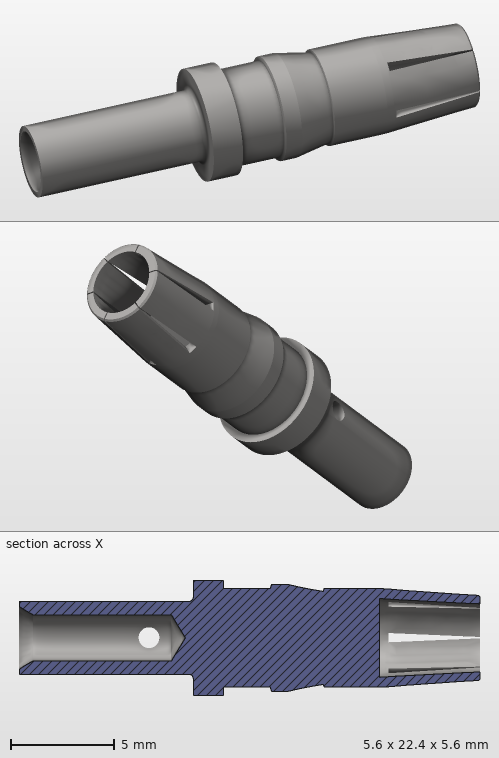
import cadquery as cq
import math

length = 22.35
finger_base = 4.51
blend_end = 4.87
body_end = 7.58
cone_start = 7.62
cone_end = 9.32
ring_end = 10.12
rear_body_start = 10.2
collar_start = 12.43
collar_end = 13.92

tip_dia = 4.15
body_dia = 4.8
cone_dia = 4.54
ring_dia = 5.2
collar_dia = 5.6
tube_dia = 3.55
tip_chamfer = 0.1
tube_fillet = 0.2

socket_dia = 3.8
socket_tip_dia = 3.29
socket_depth = blend_end

slot_count = 6
slot_length = 4.43
slot_tip_width = 0.07
slot_base_width = 0.45

bore_dia = 2.21
bore_mouth_dia = 3.02
lead_in_depth = 0.67
bore_depth = 7.38
drill_point_angle = 118.0

inspection_dia = 1.0
inspection_from_rear = 6.3


def along(distance):
    """Y coordinate at a distance behind the finger tip; the part is centred on the origin."""
    return length / 2 - distance


def revolve(profile):
    """Revolve a closed half profile, drawn in XY, about the Y axis."""
    return profile.close().revolve(360, (0, 0, 0), (0, 1, 0))


def outer_body():
    bend_middle = (finger_base + blend_end) / 2
    taper_slope = (body_dia - tip_dia) / 2 / bend_middle
    blend_start_radius = tip_dia / 2 + taper_slope * finger_base
    profile = (
        cq.Workplane("XY")
        .moveTo(0, along(0))
        .lineTo(tip_dia / 2 - tip_chamfer, along(0))
        .lineTo(tip_dia / 2, along(tip_chamfer))
        .lineTo(blend_start_radius, along(finger_base))
        .tangentArcPoint((body_dia / 2, along(blend_end)), relative=False)
        .lineTo(body_dia / 2, along(body_end))
        .lineTo(cone_dia / 2, along(cone_start))
        .lineTo(ring_dia / 2, along(cone_end))
        .lineTo(ring_dia / 2, along(ring_end))
        .lineTo(body_dia / 2, along(rear_body_start))
        .lineTo(body_dia / 2, along(collar_start))
        .lineTo(collar_dia / 2, along(collar_start))
        .lineTo(collar_dia / 2, along(collar_end))
        .lineTo(tube_dia / 2 + tube_fillet, along(collar_end))
        .radiusArc((tube_dia / 2, along(collar_end + tube_fillet)), -tube_fillet)
        .lineTo(tube_dia / 2, along(length))
        .lineTo(0, along(length))
    )
    return revolve(profile)


def socket_bore():
    profile = (
        cq.Workplane("XY")
        .moveTo(0, along(0))
        .lineTo(socket_tip_dia / 2, along(0))
        .lineTo(socket_dia / 2, along(socket_depth))
        .lineTo(0, along(socket_depth))
    )
    return revolve(profile)


def finger_slots():
    slot = (
        cq.Workplane("YZ")
        .moveTo(along(0), -slot_tip_width / 2)
        .lineTo(along(0), slot_tip_width / 2)
        .lineTo(along(slot_length), slot_base_width / 2)
        .lineTo(along(slot_length), -slot_base_width / 2)
        .close()
        .extrude(body_dia)
    )
    slots = cq.Workplane("XY")
    for index in range(slot_count):
        slots = slots.add(slot.rotate((0, 0, 0), (0, 1, 0), index * 360 / slot_count))
    return slots.combine()


def crimp_bore():
    bottom = length - bore_depth
    point_depth = bore_dia / 2 / math.tan(math.radians(drill_point_angle / 2))
    profile = (
        cq.Workplane("XY")
        .moveTo(0, along(length))
        .lineTo(bore_mouth_dia / 2, along(length))
        .lineTo(bore_dia / 2, along(length - lead_in_depth))
        .lineTo(bore_dia / 2, along(bottom))
        .lineTo(0, along(bottom - point_depth))
    )
    return revolve(profile)


def inspection_hole():
    return (
        cq.Workplane("YZ")
        .center(along(length - inspection_from_rear), 0)
        .circle(inspection_dia / 2)
        .extrude(-tube_dia)
    )


result = (
    outer_body()
    .cut(socket_bore())
    .cut(finger_slots())
    .cut(crimp_bore())
    .cut(inspection_hole())
)